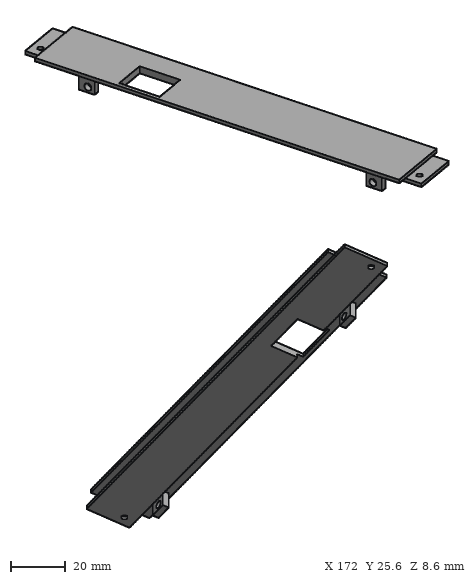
import cadquery as cq

PANEL_LENGTH = 158.0
PANEL_WIDTH = 25.6
PANEL_THICKNESS = 1.5
PLATE_LENGTH = 172.0
PLATE_BACK_Y = 10.1
PLATE_FRONT_Y = -8.6
PLATE_THICKNESS = 1.5
COVER_THICKNESS = PANEL_THICKNESS + PLATE_THICKNESS

END_HOLE_DIAMETER = 2.2
END_HOLE_INSET = 3.8
END_HOLE_Y = -4.0

WINDOW_LENGTH = 17.5
WINDOW_WIDTH = 14.0
WINDOW_CENTER_X = -34.7
WINDOW_CENTER_Y = -4.1

OVERALL_HEIGHT = 8.6
LUG_LENGTH = 6.9
LUG_THICKNESS = 2.5
LUG_HEIGHT = OVERALL_HEIGHT - PANEL_THICKNESS
LUG_CENTERS_X = (-57.6, 67.0)
LUG_HOLE_DIAMETER = 3.0
LUG_HOLE_OFFSET_X = 0.5
LUG_HOLE_Z = -6.2


def make_cover():
    """Panel and backing plate as one solid, with window and end holes."""
    panel = cq.Workplane("XY").box(
        PANEL_LENGTH, PANEL_WIDTH, PANEL_THICKNESS, centered=(True, True, False)
    ).translate((0, 0, -PANEL_THICKNESS))
    plate = cq.Workplane("XY").box(
        PLATE_LENGTH, PLATE_BACK_Y - PLATE_FRONT_Y, PLATE_THICKNESS, centered=(True, False, False)
    ).translate((0, PLATE_FRONT_Y, -COVER_THICKNESS))
    window = (
        cq.Workplane("XY")
        .center(WINDOW_CENTER_X, WINDOW_CENTER_Y)
        .rect(WINDOW_LENGTH, WINDOW_WIDTH)
        .extrude(-COVER_THICKNESS)
    )
    end_hole_x = PLATE_LENGTH / 2 - END_HOLE_INSET
    end_holes = (
        cq.Workplane("XY")
        .pushPoints([(-end_hole_x, END_HOLE_Y), (end_hole_x, END_HOLE_Y)])
        .circle(END_HOLE_DIAMETER / 2)
        .extrude(-COVER_THICKNESS)
    )
    return panel.union(plate).cut(window).cut(end_holes)


def make_lug(center_x):
    """Rectangular lug with a cross hole along Y."""
    body = cq.Workplane("XY").box(
        LUG_LENGTH, LUG_THICKNESS, LUG_HEIGHT, centered=(True, False, False)
    ).translate((center_x, PLATE_FRONT_Y - LUG_THICKNESS, -OVERALL_HEIGHT))
    hole_x = center_x + LUG_HOLE_OFFSET_X if center_x < 0 else center_x - LUG_HOLE_OFFSET_X
    hole = (
        cq.Workplane("XZ", origin=(0, PLATE_FRONT_Y, 0))
        .center(hole_x, LUG_HOLE_Z)
        .circle(LUG_HOLE_DIAMETER / 2)
        .extrude(LUG_THICKNESS)
    )
    return body.cut(hole)


cover = make_cover()
lugs = [make_lug(center_x) for center_x in LUG_CENTERS_X]

result = cq.Compound.makeCompound([cover.val(), *[lug.val() for lug in lugs]])